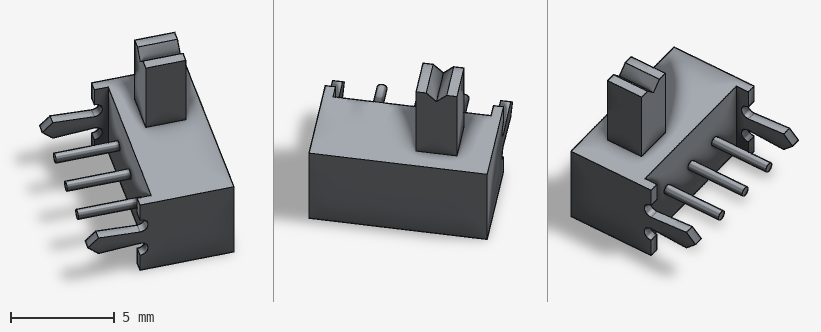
import cadquery as cq


width = 8.7
block_depth = 4.0
height = 4.4
plate_thickness = 0.5
plate_overhang = 0.7
plate_front = -plate_overhang
mid_height = height / 2

notch_radius = 0.4
root_half_width = 0.38
shoulder_half_width = 0.52
shoulder_reach = 2.07
prong_reach = 2.6

lever_size = 2.0
lever_height = 4.0
lever_offset = -1.705
groove_width = 1.0
groove_depth = groove_width / 2

pin_diameter = 0.5
pin_length = 3.18
pin_pitch = 2.0


def make_block():
    """Solid housing with its front face on Y = 0 and its base on Z = 0."""
    return cq.Workplane("XY").box(width, block_depth, height, centered=(True, False, False))


def make_side_plate(start_x):
    """Side plate with a pointed prong between two round relief notches."""
    notch_y = plate_front + notch_radius
    shoulder_y = plate_front - shoulder_reach
    tip_y = plate_front - prong_reach
    upper_root = mid_height + root_half_width
    lower_root = mid_height - root_half_width
    return (
        cq.Workplane("YZ", origin=(start_x, 0, 0))
        .moveTo(block_depth, 0)
        .lineTo(plate_front, 0)
        .lineTo(plate_front, lower_root - 2 * notch_radius)
        .threePointArc((notch_y, lower_root - notch_radius), (plate_front, lower_root))
        .lineTo(shoulder_y, mid_height - shoulder_half_width)
        .lineTo(tip_y, mid_height)
        .lineTo(shoulder_y, mid_height + shoulder_half_width)
        .lineTo(plate_front, upper_root)
        .threePointArc((notch_y, upper_root + notch_radius), (plate_front, upper_root + 2 * notch_radius))
        .lineTo(plate_front, height)
        .lineTo(block_depth, height)
        .close()
        .extrude(plate_thickness)
    )


def make_lever():
    """Square lever with a V groove along Y across its top, centred in the block depth."""
    half_size = lever_size / 2
    top = height + lever_height
    profile = [
        (-half_size, height),
        (half_size, height),
        (half_size, top),
        (groove_width / 2, top),
        (0, top - groove_depth),
        (-groove_width / 2, top),
        (-half_size, top),
    ]
    return (
        cq.Workplane("XZ", origin=(lever_offset, block_depth / 2, 0))
        .polyline(profile)
        .close()
        .extrude(half_size, both=True)
    )


def make_pins():
    """Row of three round pins standing out of the front face."""
    return (
        cq.Workplane("XZ", origin=(0, 0, mid_height))
        .rarray(pin_pitch, 0.09, 3, 1)
        .circle(pin_diameter / 2)
        .extrude(pin_length)
    )


result = make_block().union(make_lever()).union(make_pins())
for plate_start in (-width / 2, width / 2 - plate_thickness):
    result = result.union(make_side_plate(plate_start))